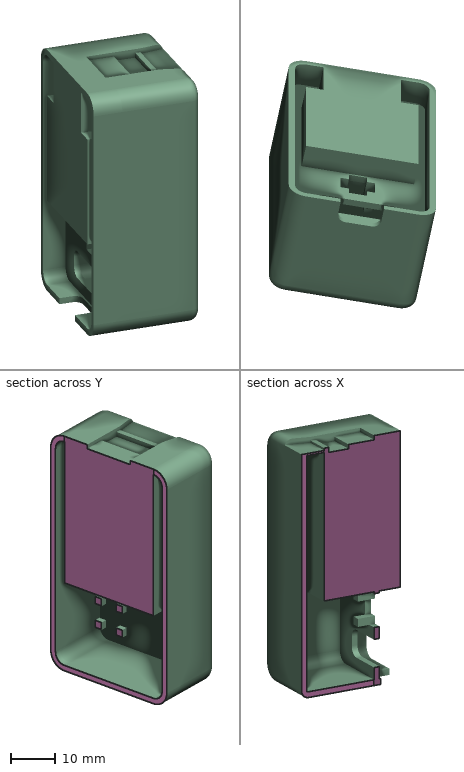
import cadquery as cq
WIDTH = 34.0
DEPTH = 26.0
HEIGHT = 60.0
WALL = 1.5
CORNER_RADIUS = 4.0
BACK_EDGE_RADIUS = 2.0
CAVITY_CORNER_RADIUS = CORNER_RADIUS - WALL

COVER_DEPTH = 6.95
FLOOR_THICKNESS = WALL
TRAY_DEPTH = COVER_DEPTH - FLOOR_THICKNESS

BLOCK_WIDTH = WIDTH - 2 * CORNER_RADIUS
BLOCK_BACK = 20.05
BLOCK_BOTTOM = 22.45
SHOULDER_HEIGHT = 48.55
NECK_WIDTH = 17.95

LATCH_WIDTH = 12.5
RECESS_DEPTH = 1.0
FINGER_WIDTH = 12.2
FINGER_FRONT = 13.7
FINGER_DEPTH = 2.05
SLIT_DEPTH = 3.0
LIP_LENGTH = 1.25
LIP_DEPTH = 0.85

GROOVE_DEPTH = 1.4
FLARE_LEFT = 7.0
FLARE_RIGHT = 7.75

CROSS_HEIGHT = 18.0
CROSS_SPAN = 8.0
CROSS_ARM = 4.15
GUIDE_LENGTH = 3.0
GUIDE_BACK = COVER_DEPTH + GUIDE_LENGTH

WINDOW_HEIGHT = 7.75
WINDOW_LENGTH = 20.2
WINDOW_WIDTH = 6.65
WINDOW_RADIUS = 2.15

NOTCH_WIDTH = 10.0
NOTCH_DEPTH = 5.05
NOTCH_RADIUS = 2.0


def box(width, front, back, bottom, top):
    """Block centred on X between the given Y and Z limits."""
    return (
        cq.Workplane("XY")
        .box(width, back - front, top - bottom, centered=(True, False, False))
        .translate((0, front, bottom))
    )


def rounded_box(width, height, radius, front, back, centre_height):
    """Block with its four edges along Y rounded."""
    bottom = centre_height - height / 2
    return box(width, front, back, bottom, bottom + height).edges("|Y").fillet(radius)


def case_box(front, back):
    """Slice of the outer case."""
    return rounded_box(WIDTH, HEIGHT, CORNER_RADIUS, front, back, HEIGHT / 2)


def cavity_box(front, back):
    """Slice of the space inside the case walls."""
    return rounded_box(
        WIDTH - 2 * WALL, HEIGHT - 2 * WALL, CAVITY_CORNER_RADIUS, front, back, HEIGHT / 2
    )


def flared_prism(bottom, top):
    """Upright prism over the groove outline, which widens towards the back."""
    return (
        cq.Workplane("XY", origin=(0, 0, bottom))
        .moveTo(-LATCH_WIDTH / 2, BLOCK_BACK)
        .lineTo(LATCH_WIDTH / 2, BLOCK_BACK)
        .lineTo(FLARE_RIGHT, DEPTH)
        .lineTo(-FLARE_LEFT, DEPTH)
        .close()
        .extrude(top - bottom)
    )


def make_housing():
    shell = case_box(COVER_DEPTH, DEPTH).faces(">Y").edges().fillet(BACK_EDGE_RADIUS)
    block_opening = box(BLOCK_WIDTH, COVER_DEPTH, BLOCK_BACK, HEIGHT / 2, HEIGHT)
    cavity = cavity_box(COVER_DEPTH, DEPTH - WALL)
    groove_floor = HEIGHT - GROOVE_DEPTH
    plate_bottom = HEIGHT - BACK_EDGE_RADIUS
    groove = flared_prism(plate_bottom, HEIGHT)
    groove_plate = flared_prism(plate_bottom, groove_floor)
    return shell.cut(cavity).cut(block_opening).cut(groove).union(groove_plate)


def make_block():
    wide_part = box(BLOCK_WIDTH, 0, BLOCK_BACK, BLOCK_BOTTOM, SHOULDER_HEIGHT)
    neck = box(NECK_WIDTH, 0, BLOCK_BACK, BLOCK_BOTTOM, HEIGHT)
    rear_part = box(BLOCK_WIDTH, TRAY_DEPTH, BLOCK_BACK, BLOCK_BOTTOM, HEIGHT)
    return wide_part.union(neck).union(rear_part)


def latch_recess():
    """Recess in front of the finger and the deeper space around it."""
    recess = box(LATCH_WIDTH, COVER_DEPTH, FINGER_FRONT, HEIGHT - RECESS_DEPTH, HEIGHT)
    finger_space = box(LATCH_WIDTH, FINGER_FRONT, BLOCK_BACK, HEIGHT - SLIT_DEPTH, HEIGHT)
    return recess.union(finger_space)


def latch_finger():
    lip_front = BLOCK_BACK - LIP_LENGTH
    slit_floor = HEIGHT - SLIT_DEPTH
    finger = box(FINGER_WIDTH, FINGER_FRONT, BLOCK_BACK, slit_floor, HEIGHT - FINGER_DEPTH)
    lip = box(FINGER_WIDTH, lip_front, BLOCK_BACK, slit_floor, HEIGHT - LIP_DEPTH)
    return finger.union(lip)


def guide_block():
    """Square boss behind the floor; the cross cut through it leaves four posts."""
    half_span = CROSS_SPAN / 2
    return box(CROSS_SPAN, COVER_DEPTH, GUIDE_BACK, CROSS_HEIGHT - half_span, CROSS_HEIGHT + half_span)


def button_cross():
    half_arm = CROSS_ARM / 2
    half_span = CROSS_SPAN / 2
    upright = box(CROSS_ARM, TRAY_DEPTH, GUIDE_BACK, CROSS_HEIGHT - half_span, CROSS_HEIGHT + half_span)
    crossbar = box(CROSS_SPAN, TRAY_DEPTH, GUIDE_BACK, CROSS_HEIGHT - half_arm, CROSS_HEIGHT + half_arm)
    return upright.union(crossbar)


def cable_notch():
    top_of_rim = WALL
    return (
        box(NOTCH_WIDTH, 0, NOTCH_DEPTH, 0, top_of_rim).edges("|Z and >Y").fillet(NOTCH_RADIUS)
    )


def make_cover():
    window = rounded_box(
        WINDOW_LENGTH, WINDOW_WIDTH, WINDOW_RADIUS, TRAY_DEPTH, COVER_DEPTH, WINDOW_HEIGHT
    )
    tray = case_box(0, COVER_DEPTH).cut(cavity_box(0, TRAY_DEPTH))
    return (
        tray.union(make_block())
        .union(guide_block())
        .cut(latch_recess())
        .union(latch_finger())
        .cut(button_cross())
        .cut(window)
        .cut(cable_notch())
    )


housing = make_housing().solids().val()
cover = make_cover().solids().val()

result = cq.Compound.makeCompound([housing, cover])